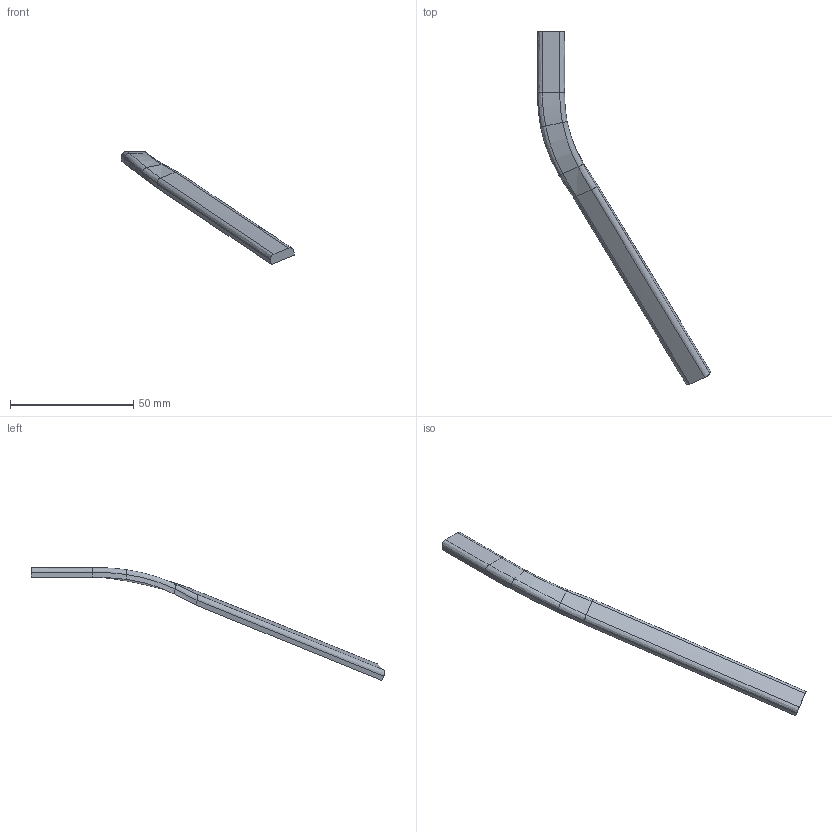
import cadquery as cq
import math


bar_width = 11.0
bar_height = 4.0
edge_radius = 2.0

tail_length = 25.0
plan_radius = 67.2
plan_angle = math.radians(31.2)
drop_radius = 87.3
drop_angle = math.radians(22.03)

bend_stations = [(tail_length, 0.0), (37.75, -1.5), (56.45, 12.5), (65.68, 21.4)]
leg_end_run = 141.82

guide_offset = 10.0


def bend_offset(run, radius, angle):
    """Sideways offset and slope of a line that turns through an arc, then goes straight."""
    distance = max(run - tail_length, 0.0)
    arc_run = radius * math.sin(angle)
    if distance < arc_run:
        adjacent = math.sqrt(radius**2 - distance**2)
        return radius - adjacent, distance / adjacent
    offset = radius * (1 - math.cos(angle)) + (distance - arc_run) * math.tan(angle)
    return offset, math.tan(angle)


def spine_point(run):
    x, _ = bend_offset(run, plan_radius, plan_angle)
    drop, _ = bend_offset(run, drop_radius, drop_angle)
    return cq.Vector(x, -run, -drop)


def spine_tangent(run):
    _, x_slope = bend_offset(run, plan_radius, plan_angle)
    _, drop_slope = bend_offset(run, drop_radius, drop_angle)
    return cq.Vector(x_slope, -1, -drop_slope).normalized()


def guide_point(run, bank):
    """Point above the spine, square to it and leaning towards -X as the bank grows."""
    tangent = spine_tangent(run)
    level = cq.Vector(0, 0, 1).cross(tangent).normalized()
    upright = tangent.cross(level)
    tilt = math.radians(bank)
    up = upright * math.cos(tilt) - level * math.sin(tilt)
    return spine_point(run) + up * guide_offset


def make_spine():
    runs = [run for run, _ in bend_stations]
    edges = [cq.Edge.makeLine(spine_point(0), spine_point(runs[0]))]
    for start, end in zip(runs, runs[1:]):
        middle = (start + end) / 2
        points = [spine_point(run) for run in (start, middle, end)]
        edges.append(cq.Edge.makeSpline(points, [spine_tangent(start), spine_tangent(end)]))
    edges.append(cq.Edge.makeLine(spine_point(runs[-1]), spine_point(leg_end_run)))
    return cq.Wire.assembleEdges(edges)


def make_guide():
    bend_points = [guide_point(run, bank) for run, bank in bend_stations]
    first_run, first_bank = bend_stations[0]
    last_run, last_bank = bend_stations[-1]
    ends = [spine_tangent(first_run), spine_tangent(last_run)]
    edges = [
        cq.Edge.makeLine(guide_point(0, first_bank), bend_points[0]),
        cq.Edge.makeSpline(bend_points, ends),
        cq.Edge.makeLine(bend_points[-1], guide_point(leg_end_run, last_bank)),
    ]
    return cq.Wire.assembleEdges(edges)


def make_section():
    """Bar outline in the XZ plane, its top face centred on the spine."""
    half = bar_width / 2
    flat = half - edge_radius
    return (
        cq.Workplane("XZ")
        .moveTo(-half, -bar_height)
        .lineTo(half, -bar_height)
        .lineTo(half, -edge_radius)
        .radiusArc((flat, 0), -edge_radius)
        .lineTo(-flat, 0)
        .radiusArc((-half, -edge_radius), -edge_radius)
        .close()
    )


spine = cq.Workplane(obj=make_spine())
guide = cq.Workplane(obj=make_guide())
result = make_section().sweep(spine, auxSpine=guide)